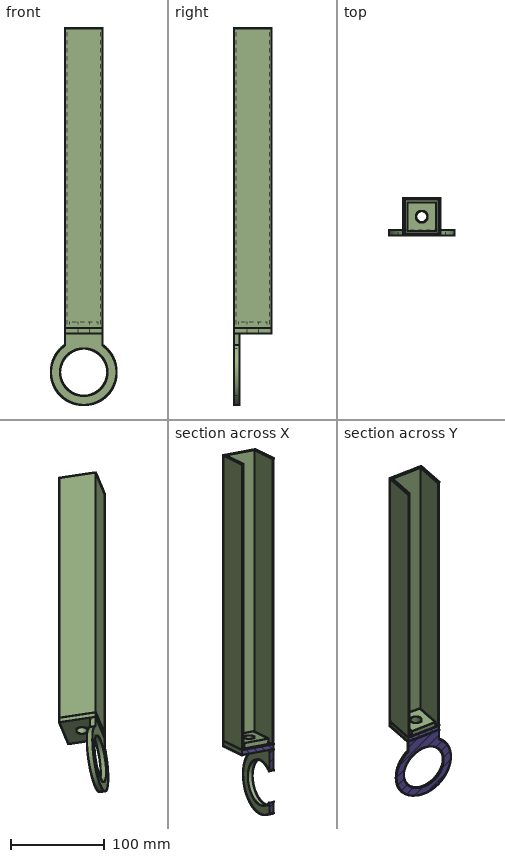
import cadquery as cq

total_height = 401.0
side = 40.0
plate_thickness = 6.0

tube_length = 318.8
tube_wall = 2.0
tube_bore = side - 2 * tube_wall

boss_side = 30.0
boss_height = plate_thickness
plate_hole_diameter = 12.0

ring_outer_diameter = 70.0
ring_hole_diameter = 50.0

tube_bottom = total_height - tube_length
plate_bottom = tube_bottom - plate_thickness
ring_center_height = ring_outer_diameter / 2
front_face = -side / 2


def make_tube():
    """Open square tube standing on the end plate."""
    return (
        cq.Workplane("XY", origin=(0, 0, tube_bottom))
        .rect(side, side)
        .rect(tube_bore, tube_bore)
        .extrude(tube_length)
    )


def make_end_plate():
    """Square plate with a smaller square boss inside the tube and a central through hole."""
    plate = (
        cq.Workplane("XY", origin=(0, 0, plate_bottom))
        .rect(side, side)
        .extrude(plate_thickness)
    )
    boss = (
        cq.Workplane("XY", origin=(0, 0, tube_bottom))
        .rect(boss_side, boss_side)
        .extrude(boss_height)
    )
    hole = (
        cq.Workplane("XY", origin=(0, 0, plate_bottom))
        .circle(plate_hole_diameter / 2)
        .extrude(plate_thickness + boss_height)
    )
    return plate.union(boss).cut(hole)


def make_ring_lug():
    """Flat ring hanging below the front edge of the plate on a straight neck."""
    face = cq.Workplane("XZ", origin=(0, front_face, ring_center_height))
    neck_height = plate_bottom - ring_center_height
    ring = face.circle(ring_outer_diameter / 2).extrude(-plate_thickness)
    neck = face.center(0, neck_height / 2).rect(side, neck_height).extrude(-plate_thickness)
    hole = face.circle(ring_hole_diameter / 2).extrude(-plate_thickness)
    return ring.union(neck).cut(hole)


tube = make_tube()
end_plate = make_end_plate()
ring_lug = make_ring_lug()

result = cq.Compound.makeCompound([tube.val(), end_plate.val(), ring_lug.val()])